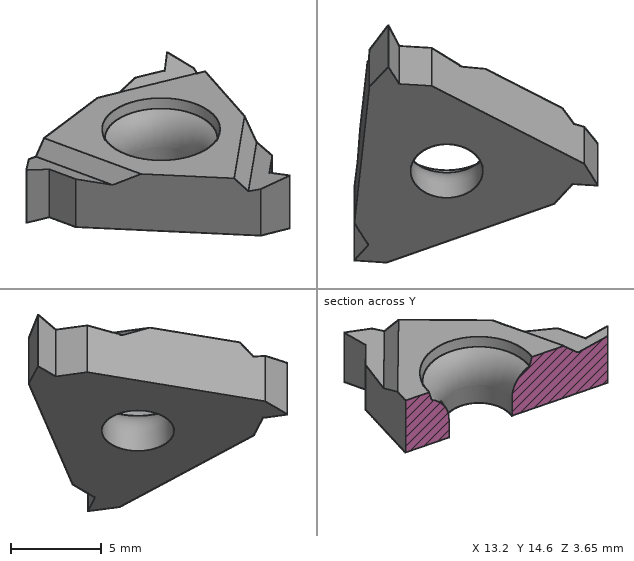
import cadquery as cq
import math

thickness = 3.65
corner_count = 3
corner_angle = 360 / corner_count

side_distance = 4.76
flank_start_y = -5.94
tip_x = -3.86
tip_y = -7.47
tip_width = 0.03
heel_flank_slope = math.tan(math.radians(60))
heel_y = -6.28

groove_start_y = -4.47
groove_bottom_y = -5.25
groove_depth = 0.8
tip_drop = 0.22
cutter_margin = 1.45

bore_radius = 2.0
seat_radius = 3.1
mouth_radius = 3.26
mouth_depth = 0.58
seat_depth = 2.37


def rotated(point, angle):
    """Turn a point about the hole axis by an angle in degrees."""
    x, y = point
    c = math.cos(math.radians(angle))
    s = math.sin(math.radians(angle))
    return (x * c - y * s, x * s + y * c)


def make_body():
    normal_x, normal_y = rotated((1, 0), corner_angle - 180)
    heel_end_x = (side_distance - heel_y * normal_y) / normal_x
    tip_end_x = tip_x + tip_width
    heel_start_x = tip_end_x + (heel_y - tip_y) / heel_flank_slope
    corner = [
        (-side_distance, flank_start_y),
        (tip_x, tip_y),
        (tip_end_x, tip_y),
        (heel_start_x, heel_y),
        (heel_end_x, heel_y),
    ]
    outline = [rotated(p, i * corner_angle) for i in range(corner_count) for p in corner]
    return cq.Workplane("XY").polyline(outline).close().extrude(thickness)


def make_groove_cutter():
    rake_slope = (groove_depth - tip_drop) / (groove_bottom_y - tip_y)
    outer_y = tip_y - cutter_margin
    outer_z = thickness - tip_drop + rake_slope * cutter_margin
    roof_z = thickness + cutter_margin
    half_length = 2 * side_distance
    return (
        cq.Workplane("YZ")
        .moveTo(groove_start_y, thickness)
        .lineTo(groove_bottom_y, thickness - groove_depth)
        .lineTo(outer_y, outer_z)
        .lineTo(outer_y, roof_z)
        .lineTo(groove_start_y, roof_z)
        .close()
        .extrude(half_length, both=True)
    )


def make_screw_hole():
    seat_width = seat_radius - bore_radius
    seat_height = seat_depth - mouth_depth
    arc_radius = (seat_width**2 + seat_height**2) / (2 * seat_width)
    mid_angle = math.asin(seat_height / arc_radius) / 2
    seat_bottom_z = thickness - seat_depth
    arc_middle = (
        bore_radius + arc_radius * (1 - math.cos(mid_angle)),
        seat_bottom_z + arc_radius * math.sin(mid_angle),
    )
    return (
        cq.Workplane("XZ")
        .lineTo(bore_radius, 0)
        .lineTo(bore_radius, seat_bottom_z)
        .threePointArc(arc_middle, (seat_radius, thickness - mouth_depth))
        .lineTo(mouth_radius, thickness)
        .lineTo(0, thickness)
        .close()
        .revolve(360, (0, 0, 0), (0, 1, 0))
    )


result = make_body().cut(make_screw_hole())
groove_cutter = make_groove_cutter()
for i in range(corner_count):
    result = result.cut(groove_cutter.rotate((0, 0, 0), (0, 0, 1), i * corner_angle))